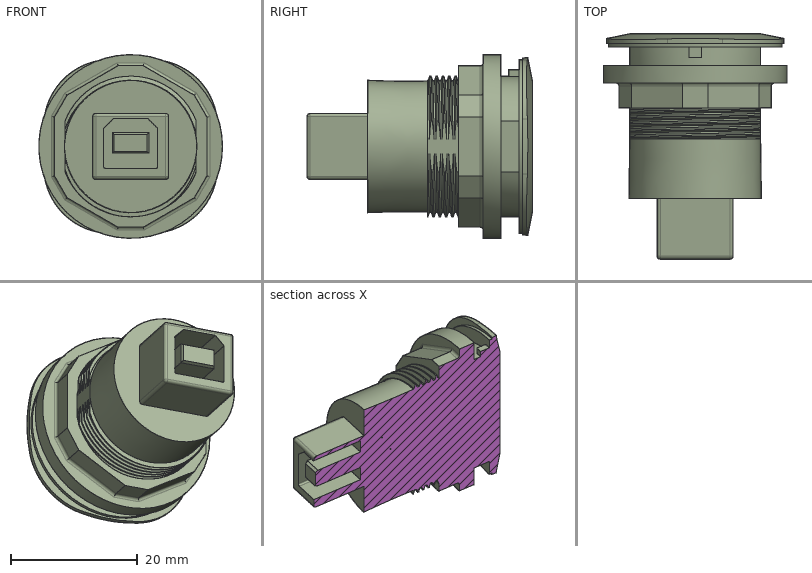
import cadquery as cq
import math


CAP_EDGE = 0.75
CAP_BACK = 1.55
RIM_BACK = 2.1
FLANGE_FRONT = 5.0
FLANGE_BACK = 7.8
NUT_BACK = 11.7
THREAD_BACK = 16.6
BODY_BACK = 26.02
LENGTH = 35.6

FACE_DIA = 20.7
CAP_HALF = 14.03
CAP_SIDE_X = 4.35
CAP_SIDE_Z = 13.67
CAP_DIAGONAL = 15.02
CONE_MARGIN = 0.35
RIM_DIA = 27.4

KEY_WIDTH = 2.0
KEY_TOP = 12.15
KEY_BACK = 3.77

NECK_DIA = 22.2
NECK_FLATS = 20.7
FLANGE_DIA = 29.0
NUT_FLATS = 24.05
NUT_CORNERS = 25.5
NUT_FILLET = 0.45

ROOT_DIA = 20.83
BODY_FRONT_DIA = 20.7
BODY_BACK_DIA = 20.95
PITCH = 1.0
CREST_WIDTH = 0.2
ROOT_WIDTH = 0.82
SEAM_ANGLE = 37.0
ROOT_SINK = 0.15
LEAD_IN_TURNS = 2
CREST_START = 12.15

PLUG_WIDTH = 12.0
PLUG_HEIGHT = 10.43
PLUG_FILLET = 0.5

SOCKET_WIDTH = 8.55
SOCKET_TOP = 4.38
SOCKET_BOTTOM = -3.45
SOCKET_CHAMFER = 1.53
SOCKET_FILLET = 0.3
SOCKET_DEPTH = 8.9
TONGUE_WIDTH = 5.73
TONGUE_TOP = 2.17
TONGUE_BOTTOM = -1.07
TONGUE_CHAMFER = 0.25
TONGUE_LEAD = 0.5
TONGUE_RECESS = 0.3


def section(depth):
    """Workplane across the axis at a depth; extrusions run toward -Y and local y is Z."""
    return cq.Workplane("XZ", origin=(0, -depth, 0))


def cylinder(diameter, start, end):
    return section(start).circle(diameter / 2).extrude(end - start)


def slab(width, bottom, top, start, end):
    """Box centred on X = 0 between two heights and two depths."""
    return (
        section(start)
        .center(0, (bottom + top) / 2)
        .rect(width, top - bottom)
        .extrude(end - start)
    )


def between_flats(start, end):
    """Space between the two side flats."""
    return slab(NECK_FLATS, -FLANGE_DIA / 2, FLANGE_DIA / 2, start, end)


def hexagon(across_flats, start, end):
    """Hexagonal prism with flats facing up and down."""
    across_points = across_flats / math.cos(math.pi / 6)
    return section(start).polygon(6, across_points).extrude(end - start)


def quarter_turn(point, count):
    """Point of a cross-section after a number of clockwise quarter turns about the axis."""
    x, z = point
    for _ in range(count):
        x, z = z, -x
    return x, z


def make_cap():
    """Plate of four bowed sides and four lobes with a conical face, and the round rim behind it."""
    diagonal = CAP_DIAGONAL * math.sqrt(0.5)
    outline = section(0).moveTo(-CAP_SIDE_X, CAP_SIDE_Z)
    for quarter in range(4):
        for middle, end in (
            ((0, CAP_HALF), (CAP_SIDE_X, CAP_SIDE_Z)),
            ((diagonal, diagonal), (CAP_SIDE_Z, CAP_SIDE_X)),
        ):
            outline = outline.threePointArc(quarter_turn(middle, quarter), quarter_turn(end, quarter))
    plate = outline.close().extrude(CAP_BACK)

    face_radius = FACE_DIA / 2
    slope = CAP_EDGE / (CAP_HALF - face_radius)
    outer_radius = CAP_DIAGONAL + CONE_MARGIN
    cone = (
        cq.Workplane("XY")
        .polyline([
            (0, 0),
            (face_radius, 0),
            (outer_radius, -slope * (outer_radius - face_radius)),
            (outer_radius, -CAP_BACK),
            (0, -CAP_BACK),
        ])
        .close()
        .revolve(360, (0, 0, 0), (0, 1, 0))
    )
    return plate.intersect(cone).union(cylinder(RIM_DIA, CAP_BACK, RIM_BACK))


def make_neck():
    """Flatted neck between cap and flange, with the locating key on top."""
    neck = cylinder(NECK_DIA, RIM_BACK, FLANGE_FRONT).intersect(between_flats(RIM_BACK, FLANGE_FRONT))
    return neck.union(slab(KEY_WIDTH, 0, KEY_TOP, RIM_BACK, KEY_BACK))


def make_flange_and_nut():
    """Round flange and hexagonal nut with cut corners, blended by a fillet."""
    corner_cut = hexagon(NUT_CORNERS, FLANGE_BACK, NUT_BACK)
    nut = hexagon(NUT_FLATS, FLANGE_BACK, NUT_BACK).rotate((0, 0, 0), (0, 1, 0), 30).intersect(corner_cut)
    joined = cylinder(FLANGE_DIA, FLANGE_FRONT, FLANGE_BACK).union(nut)
    return joined.edges("%LINE and #Y").edges(">Y").fillet(NUT_FILLET)


def make_thread():
    """Flatted core with a right-hand helical ridge that starts inside the nut."""
    start = CREST_START - LEAD_IN_TURNS * PITCH
    height = THREAD_BACK + PITCH - start
    sink_radius = ROOT_DIA / 2 - ROOT_SINK
    path = cq.Wire.makeHelix(PITCH, height, sink_radius)
    ridge = (
        cq.Workplane("XZ")
        .polyline([
            (sink_radius, -ROOT_WIDTH / 2),
            (NECK_DIA / 2, -CREST_WIDTH / 2),
            (NECK_DIA / 2, CREST_WIDTH / 2),
            (sink_radius, ROOT_WIDTH / 2),
        ])
        .close()
        .sweep(path, isFrenet=True)
        .rotate((0, 0, 0), (0, 0, 1), 90)
        .rotate((0, 0, 0), (1, 0, 0), 90)
        .translate((0, -start, 0))
    )
    core = cylinder(ROOT_DIA, FLANGE_FRONT, BODY_BACK).rotate((0, 0, 0), (0, 1, 0), SEAM_ANGLE)
    return core.union(ridge).intersect(between_flats(FLANGE_BACK, THREAD_BACK))


def make_body():
    """Slightly tapered barrel between thread and plug."""
    return (
        section(THREAD_BACK)
        .circle(BODY_FRONT_DIA / 2)
        .workplane(offset=BODY_BACK - THREAD_BACK)
        .circle(BODY_BACK_DIA / 2)
        .loft()
    )


def make_plug():
    """Rounded block with the USB-B socket and its contact tongue."""
    plug = slab(PLUG_WIDTH, -PLUG_HEIGHT / 2, PLUG_HEIGHT / 2, BODY_BACK, LENGTH)
    plug = plug.edges("|Y or <Y").fillet(PLUG_FILLET)

    socket_floor = LENGTH - SOCKET_DEPTH
    socket = slab(SOCKET_WIDTH, SOCKET_BOTTOM, SOCKET_TOP, socket_floor, LENGTH)
    socket = socket.edges("|Y and >Z").chamfer(SOCKET_CHAMFER)
    socket = socket.edges("|Y and <Z").fillet(SOCKET_FILLET)

    tongue = slab(TONGUE_WIDTH, TONGUE_BOTTOM, TONGUE_TOP, socket_floor, LENGTH - TONGUE_RECESS)
    tongue = tongue.edges("<Y").chamfer(TONGUE_LEAD, TONGUE_CHAMFER)
    return plug.cut(socket.cut(tongue))


result = (
    make_cap()
    .union(make_neck())
    .union(make_flange_and_nut())
    .union(make_thread())
    .union(make_body())
    .union(make_plug())
)